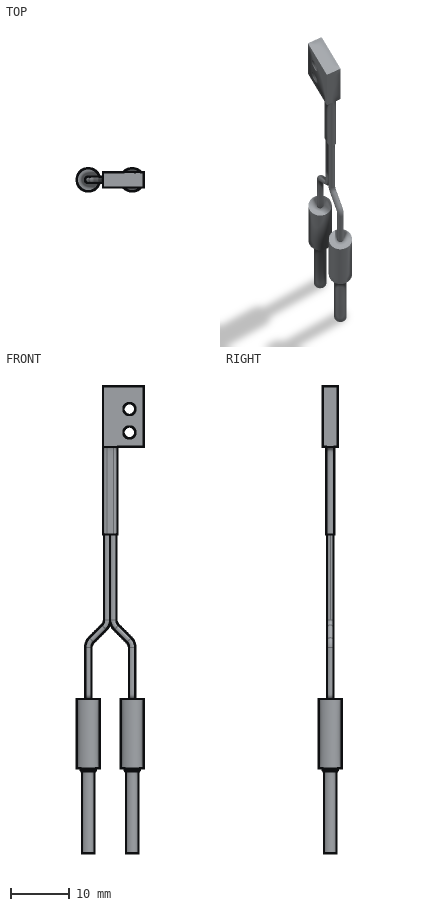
import cadquery as cq
import math

total_height = 80.1
pin_pitch = 7.5

block_width = 7.05
block_depth = 2.65
block_height = 10.4
hole_diameter = 2.0
hole_spacing = 4.0
hole_from_right = 2.5
lower_hole_from_bottom = 2.5

sheath_width = 2.6
sheath_depth = 1.45
sheath_bottom = 54.7

wire_diameter = 1.1
wire_pitch = 1.05
split_height = 40.05
bend_radius = 1.85
bend_angle = math.radians(45)

sleeve_diameter = 4.0
sleeve_top = 26.5
sleeve_length = 11.9
collar_diameter = 2.65
collar_length = 0.6
pin_diameter = 2.2

block_bottom = total_height - block_height
block_left = -sheath_width / 2
block_right = block_left + block_width
sleeve_bottom = sleeve_top - sleeve_length
joint_overlap = 0.8


def make_block():
    block = cq.Workplane("XY").box(block_width, block_depth, block_height, centered=(False, True, False))
    block = block.translate((block_left, 0, block_bottom))
    hole_x = block_right - hole_from_right
    lower_hole_z = block_bottom + lower_hole_from_bottom
    holes = (
        cq.Workplane("XZ")
        .pushPoints([(hole_x, lower_hole_z), (hole_x, lower_hole_z + hole_spacing)])
        .circle(hole_diameter / 2)
        .extrude(block_depth, both=True)
    )
    return block.cut(holes)


def make_sheath():
    return (
        cq.Workplane("XY", origin=(0, 0, sheath_bottom))
        .slot2D(sheath_width, sheath_depth)
        .extrude(block_bottom - sheath_bottom)
    )


def make_wire(side):
    """Wire on one side (-1 or +1), bent outward and then straight down again."""
    inner_x = wire_pitch / 2
    outer_x = pin_pitch / 2
    bend_run = bend_radius * (1 - math.cos(bend_angle))
    bend_drop = bend_radius * math.sin(bend_angle)
    mid_run = bend_radius * (1 - math.cos(bend_angle / 2))
    mid_drop = bend_radius * math.sin(bend_angle / 2)
    slope_drop = (outer_x - inner_x - 2 * bend_run) / math.tan(bend_angle)
    lower_bend_top = split_height - bend_drop - slope_drop
    lower_bend_bottom = lower_bend_top - bend_drop
    wire_top = sheath_bottom + joint_overlap

    path = (
        cq.Workplane("XZ")
        .moveTo(side * inner_x, wire_top)
        .lineTo(side * inner_x, split_height)
        .threePointArc(
            (side * (inner_x + mid_run), split_height - mid_drop),
            (side * (inner_x + bend_run), split_height - bend_drop),
        )
        .lineTo(side * (outer_x - bend_run), lower_bend_top)
        .threePointArc(
            (side * (outer_x - mid_run), lower_bend_bottom + mid_drop),
            (side * outer_x, lower_bend_bottom),
        )
        .lineTo(side * outer_x, sleeve_top - joint_overlap)
    )
    profile = cq.Workplane("XY", origin=(side * inner_x, 0, wire_top)).circle(wire_diameter / 2)
    return profile.sweep(path)


def make_pin(side):
    """Sleeve, tapered collar and contact pin, turned about one vertical axis."""
    collar_bottom = sleeve_bottom - collar_length
    return (
        cq.Workplane("XZ")
        .polyline([
            (0, 0),
            (pin_diameter / 2, 0),
            (pin_diameter / 2, collar_bottom),
            (collar_diameter / 2, sleeve_bottom - collar_length / 2),
            (collar_diameter / 2, sleeve_bottom),
            (sleeve_diameter / 2, sleeve_bottom),
            (sleeve_diameter / 2, sleeve_top),
            (0, sleeve_top),
        ])
        .close()
        .revolve(360, (0, 0, 0), (0, 1, 0))
        .translate((side * pin_pitch / 2, 0, 0))
    )


result = make_block().union(make_sheath())
for side in (-1, 1):
    result = result.union(make_wire(side)).union(make_pin(side))